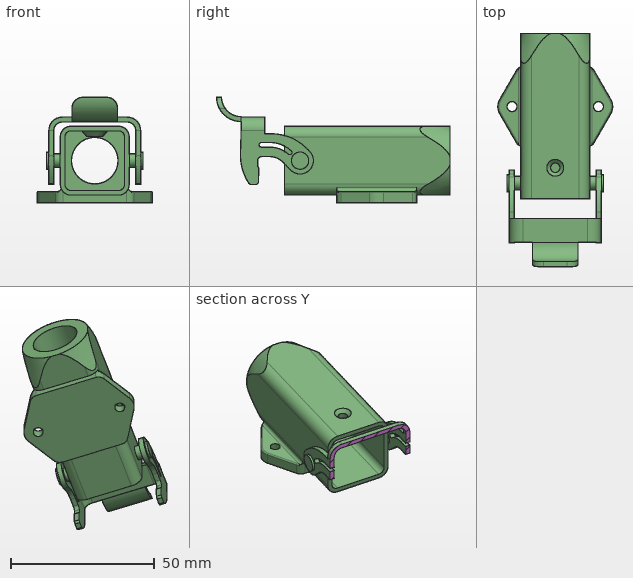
import cadquery as cq
import math


HOOD_WIDTH = 24.0
HOOD_CORNER_RADIUS = 3.8
HOOD_BOTTOM_Z = 2.7
HOOD_FRONT_Y = -32.0
HOOD_REAR_Y = 25.5
WALL = 1.6
HOOD_AXIS_Z = HOOD_BOTTOM_Z + HOOD_WIDTH / 2
HOOD_TOP_Z = HOOD_BOTTOM_Z + HOOD_WIDTH
CAVITY_WIDTH = HOOD_WIDTH - 2 * WALL
CAVITY_TOP_Z = HOOD_TOP_Z - WALL

CONE_LENGTH = 10.5
CONE_END_RADIUS = 12.1
CONE_BASE_RADIUS = 15.4
CABLE_BORE_RADIUS = 8.0

SCREW_Y = -21.25
SCREW_HOLE_RADIUS = 1.6
COUNTERSINK_RADIUS = 2.9
COUNTERSINK_DEPTH = COUNTERSINK_RADIUS - SCREW_HOLE_RADIUS
BOSS_ROOT_RADIUS = 4.55
BOSS_END_RADIUS = 2.8
BOSS_HEIGHT = 1.95

FLANGE_WIDTH = 40.0
FLANGE_HALF_LENGTH = 13.95
FLANGE_THICKNESS = 4.05
FLANGE_SIDE_ANGLE = math.radians(60)
FLANGE_TIP_RADIUS = 4.9
FLANGE_CORNER_RADIUS = 3.0
FLANGE_EDGE_FILLET = 0.5
ROOT_FILLET = 1.0
MOUNT_HOLE_X = 15.0
MOUNT_HOLE_DIAMETER = 3.4

SHEET = 1.8
LEVER_HALF_WIDTH = 16.0
BEND_RADIUS = 4.7
BRIDGE_TOP_Z = 29.85
BRIDGE_REAR_Y = -38.85
BRIDGE_FRONT_Y = -47.1
BEND_END_Z = BRIDGE_TOP_Z - BEND_RADIUS

PIVOT_Y = -26.6
PIVOT_Z = HOOD_AXIS_Z
PIN_RADIUS = 2.4
PIN_HEAD_RADIUS = 3.0
PIN_HEAD_HEIGHT = 0.8

NECK_TILT = 45
EYE_RADIUS = 4.6
ARCH_TOP_Z = 24.1
ARCH_OUTER_RADIUS = 17.35
ARCH_UNDER_Z = 16.1
ARCH_INNER_RADIUS = 6.3
JAW_Y = -41.3
JAW_RADIUS = 1.3
CATCH_Y = -40.9
CATCH_TOP_Z = 12.7
CATCH_Z = 12.1
HOOK_INNER_Y = -41.05
HOOK_BOTTOM_Z = 6.3
HOOK_CHAMFER = 0.7
HOOK_BOTTOM_Y = -43.8
HOOK_TOE = (-44.45, 6.8)
HOOK_BULGE = (-46.6, 11.5)
HOOK_FRONT = (-47.4, 16.5)
SLOT_CENTER_Z = 20.2
SLOT_HALF_WIDTH = 0.77
SLOT_END_Y = -40.1
SLOT_START_TILT = 42

TAB_OUTER_RADIUS = 8.5
TAB_WIDTH = 15.9
TAB_CORNER_RADIUS = 3.9
TAB_TOP_Z = 36.75


def rounded_bar(width, corner_radius, front_y, rear_y):
    """Rounded square bar on the hood axis."""
    return (
        cq.Workplane("XZ", origin=(0, front_y, HOOD_AXIS_Z))
        .rect(width, width)
        .extrude(front_y - rear_y)
        .edges("|Y")
        .fillet(corner_radius)
    )


def make_hood():
    bar = rounded_bar(HOOD_WIDTH, HOOD_CORNER_RADIUS, HOOD_FRONT_Y, HOOD_REAR_Y)
    cone_base_y = HOOD_REAR_Y - CONE_LENGTH
    envelope = (
        cq.Workplane("XY", origin=(0, 0, HOOD_AXIS_Z))
        .moveTo(0, HOOD_FRONT_Y)
        .lineTo(HOOD_WIDTH, HOOD_FRONT_Y)
        .lineTo(HOOD_WIDTH, cone_base_y)
        .lineTo(CONE_BASE_RADIUS, cone_base_y)
        .lineTo(CONE_END_RADIUS, HOOD_REAR_Y)
        .lineTo(0, HOOD_REAR_Y)
        .close()
        .revolve(360, (0, 0, 0), (0, 1, 0))
    )
    return bar.intersect(envelope)


def make_cavity():
    return rounded_bar(
        CAVITY_WIDTH, HOOD_CORNER_RADIUS - WALL, HOOD_FRONT_Y, HOOD_REAR_Y - CONE_LENGTH
    )


def make_cable_bore():
    return (
        cq.Workplane("XZ", origin=(0, HOOD_REAR_Y, HOOD_AXIS_Z))
        .circle(CABLE_BORE_RADIUS)
        .extrude(CONE_LENGTH + WALL)
    )


def make_screw_boss():
    root_z = CAVITY_TOP_Z
    end_z = CAVITY_TOP_Z - BOSS_HEIGHT
    return (
        cq.Workplane("XZ", origin=(0, SCREW_Y, 0))
        .polyline([(0, end_z), (BOSS_END_RADIUS, end_z), (BOSS_ROOT_RADIUS, root_z), (0, root_z)])
        .close()
        .revolve(360, (0, 0, 0), (0, 1, 0))
    )


def make_screw_hole():
    """Turned cutter: cone at the outer face, then a plain hole through the boss."""
    end_z = CAVITY_TOP_Z - BOSS_HEIGHT
    cone_end_z = HOOD_TOP_Z - COUNTERSINK_DEPTH
    return (
        cq.Workplane("XZ", origin=(0, SCREW_Y, 0))
        .moveTo(0, end_z)
        .lineTo(SCREW_HOLE_RADIUS, end_z)
        .lineTo(SCREW_HOLE_RADIUS, cone_end_z)
        .lineTo(COUNTERSINK_RADIUS, HOOD_TOP_Z)
        .lineTo(0, HOOD_TOP_Z)
        .close()
        .revolve(360, (0, 0, 0), (0, 1, 0))
    )


def flange_prism(height):
    """Rounded hexagon of the flange, from the bottom face up to the given height."""
    sharp_tip_x = FLANGE_WIDTH / 2 + FLANGE_TIP_RADIUS * (1 / math.sin(FLANGE_SIDE_ANGLE) - 1)
    corner_x = sharp_tip_x - FLANGE_HALF_LENGTH / math.tan(FLANGE_SIDE_ANGLE)
    return (
        cq.Workplane("XY")
        .moveTo(sharp_tip_x, 0)
        .lineTo(corner_x, FLANGE_HALF_LENGTH)
        .lineTo(-corner_x, FLANGE_HALF_LENGTH)
        .lineTo(-sharp_tip_x, 0)
        .lineTo(-corner_x, -FLANGE_HALF_LENGTH)
        .lineTo(corner_x, -FLANGE_HALF_LENGTH)
        .close()
        .extrude(height)
        .edges("|Z and (>X or <X)")
        .fillet(FLANGE_TIP_RADIUS)
        .edges("|Z and (>Y or <Y)")
        .fillet(FLANGE_CORNER_RADIUS)
    )


def make_flange():
    return flange_prism(FLANGE_THICKNESS).faces(">Z").edges().fillet(FLANGE_EDGE_FILLET)


def make_root_fillets():
    """Concave fillets between the flange top and the lower corners of the hood."""
    corner_x = HOOD_WIDTH / 2 - HOOD_CORNER_RADIUS
    corner_z = HOOD_BOTTOM_Z + HOOD_CORNER_RADIUS
    center_z = FLANGE_THICKNESS + ROOT_FILLET
    reach = HOOD_CORNER_RADIUS + ROOT_FILLET
    center_x = corner_x + math.sqrt(reach**2 - (corner_z - center_z) ** 2)
    touch = HOOD_CORNER_RADIUS / reach
    touch_x = corner_x + touch * (center_x - corner_x)
    touch_z = corner_z + touch * (center_z - corner_z)
    bead = (
        cq.Workplane("XZ")
        .moveTo(corner_x, FLANGE_THICKNESS - FLANGE_EDGE_FILLET)
        .lineTo(center_x, FLANGE_THICKNESS - FLANGE_EDGE_FILLET)
        .lineTo(center_x, FLANGE_THICKNESS)
        .radiusArc((touch_x, touch_z), ROOT_FILLET)
        .lineTo(corner_x, touch_z)
        .close()
        .extrude(FLANGE_HALF_LENGTH, both=True)
    )
    beads = bead.union(bead.mirror("YZ"))
    return beads.intersect(flange_prism(HOOD_AXIS_Z))


def make_mount_holes():
    return (
        cq.Workplane("XY")
        .pushPoints([(-MOUNT_HOLE_X, 0), (MOUNT_HOLE_X, 0)])
        .circle(MOUNT_HOLE_DIAMETER / 2)
        .extrude(FLANGE_THICKNESS)
    )


def on_arc(center, radius, degrees):
    """Point of a circle in the YZ plane, measured from +Z towards +Y."""
    angle = math.radians(degrees)
    return (center[0] + radius * math.sin(angle), center[1] + radius * math.cos(angle))


def arch_center(crown_z, radius, eye_side):
    """Centre of an arch tangent to a straight side of the eye (eye_side: +1 upper, -1 lower)."""
    tilt = math.radians(NECK_TILT)
    center_z = crown_z - radius
    normal_offset = eye_side * EYE_RADIUS - radius
    center_y = PIVOT_Y + (normal_offset - (center_z - PIVOT_Z) * math.cos(tilt)) / math.sin(tilt)
    return (center_y, center_z)


def make_arm_slot(arch):
    """Slot that follows the arch of the neck and then runs level to its front end."""
    middle = SLOT_CENTER_Z - arch[1]
    outer = middle + SLOT_HALF_WIDTH
    inner = middle - SLOT_HALF_WIDTH
    start_center = on_arc(arch, middle, SLOT_START_TILT)
    end_center = (SLOT_END_Y, SLOT_CENTER_Z)
    return (
        cq.Workplane("YZ")
        .moveTo(*on_arc(arch, outer, SLOT_START_TILT))
        .threePointArc(on_arc(arch, outer, SLOT_START_TILT / 2), on_arc(arch, outer, 0))
        .lineTo(*on_arc(end_center, SLOT_HALF_WIDTH, 0))
        .threePointArc(on_arc(end_center, SLOT_HALF_WIDTH, -90), on_arc(end_center, SLOT_HALF_WIDTH, 180))
        .lineTo(*on_arc(arch, inner, 0))
        .threePointArc(on_arc(arch, inner, SLOT_START_TILT / 2), on_arc(arch, inner, SLOT_START_TILT))
        .threePointArc(
            on_arc(start_center, SLOT_HALF_WIDTH, SLOT_START_TILT + 90),
            on_arc(arch, outer, SLOT_START_TILT),
        )
        .close()
        .extrude(SHEET)
    )


def make_arm():
    """Arm on the +X side, from the pivot eye to the hook, up to the end of the bend."""
    pivot = (PIVOT_Y, PIVOT_Z)
    outer_arch = arch_center(ARCH_TOP_Z, ARCH_OUTER_RADIUS, 1)
    inner_arch = arch_center(ARCH_UNDER_Z, ARCH_INNER_RADIUS, -1)
    jaw = (JAW_Y + JAW_RADIUS, ARCH_UNDER_Z - JAW_RADIUS)
    blank = (
        cq.Workplane("YZ")
        .moveTo(*on_arc(pivot, EYE_RADIUS, NECK_TILT))
        .lineTo(*on_arc(outer_arch, ARCH_OUTER_RADIUS, NECK_TILT))
        .threePointArc(
            on_arc(outer_arch, ARCH_OUTER_RADIUS, NECK_TILT / 2),
            on_arc(outer_arch, ARCH_OUTER_RADIUS, 0),
        )
        .lineTo(BRIDGE_REAR_Y, ARCH_TOP_Z)
        .lineTo(BRIDGE_REAR_Y, BEND_END_Z)
        .lineTo(BRIDGE_FRONT_Y, BEND_END_Z)
        .lineTo(*HOOK_FRONT)
        .threePointArc(HOOK_BULGE, HOOK_TOE)
        .lineTo(HOOK_BOTTOM_Y, HOOK_BOTTOM_Z)
        .lineTo(HOOK_INNER_Y - HOOK_CHAMFER, HOOK_BOTTOM_Z)
        .lineTo(HOOK_INNER_Y, HOOK_BOTTOM_Z + HOOK_CHAMFER)
        .lineTo(CATCH_Y, CATCH_Z)
        .lineTo(JAW_Y, CATCH_TOP_Z)
        .lineTo(*on_arc(jaw, JAW_RADIUS, -90))
        .threePointArc(on_arc(jaw, JAW_RADIUS, -45), on_arc(jaw, JAW_RADIUS, 0))
        .lineTo(*on_arc(inner_arch, ARCH_INNER_RADIUS, 0))
        .threePointArc(
            on_arc(inner_arch, ARCH_INNER_RADIUS, NECK_TILT / 2),
            on_arc(inner_arch, ARCH_INNER_RADIUS, NECK_TILT),
        )
        .lineTo(*on_arc(pivot, EYE_RADIUS, NECK_TILT + 180))
        .threePointArc(
            on_arc(pivot, EYE_RADIUS, NECK_TILT + 90),
            on_arc(pivot, EYE_RADIUS, NECK_TILT),
        )
        .close()
        .extrude(SHEET)
    )
    arm = blank.cut(make_arm_slot(inner_arch))
    return arm.translate((LEVER_HALF_WIDTH - SHEET, 0, 0))


def make_bridge():
    """Top plate with its two bends, ending where the flat arms begin."""
    depth = BRIDGE_REAR_Y - BRIDGE_FRONT_Y

    def arched_block(half_width, top_z, corner_radius):
        return (
            cq.Workplane("XZ", origin=(0, BRIDGE_REAR_Y, 0))
            .rect(2 * half_width, 2 * top_z)
            .extrude(depth)
            .edges("|Y and >Z")
            .fillet(corner_radius)
        )

    outside = arched_block(LEVER_HALF_WIDTH, BRIDGE_TOP_Z, BEND_RADIUS)
    inside = arched_block(LEVER_HALF_WIDTH - SHEET, BRIDGE_TOP_Z - SHEET, BEND_RADIUS - SHEET)
    upper_part = (
        cq.Workplane("XY", origin=(0, (BRIDGE_REAR_Y + BRIDGE_FRONT_Y) / 2, BEND_END_Z))
        .rect(2 * LEVER_HALF_WIDTH, depth)
        .extrude(BEND_RADIUS)
    )
    return outside.cut(inside).intersect(upper_part)


def make_finger_tab():
    tab_inner_radius = TAB_OUTER_RADIUS - SHEET
    center = (BRIDGE_FRONT_Y, TAB_TOP_Z)
    curl = (
        cq.Workplane("YZ")
        .moveTo(*on_arc(center, TAB_OUTER_RADIUS, 180))
        .threePointArc(on_arc(center, TAB_OUTER_RADIUS, 225), on_arc(center, TAB_OUTER_RADIUS, 270))
        .lineTo(*on_arc(center, tab_inner_radius, 270))
        .threePointArc(on_arc(center, tab_inner_radius, 225), on_arc(center, tab_inner_radius, 180))
        .close()
        .extrude(TAB_WIDTH / 2, both=True)
    )
    face = (
        cq.Workplane("XZ", origin=(0, BRIDGE_FRONT_Y, TAB_TOP_Z - TAB_OUTER_RADIUS / 2))
        .rect(TAB_WIDTH, TAB_OUTER_RADIUS)
        .extrude(TAB_OUTER_RADIUS)
        .edges("|Y and >Z")
        .fillet(TAB_CORNER_RADIUS)
    )
    return curl.intersect(face)


def make_pin():
    """Pivot pin on the +X side, from inside the hood wall to the head outside the arm."""
    shank_start_x = CAVITY_WIDTH / 2
    return (
        cq.Workplane("YZ", origin=(shank_start_x, PIVOT_Y, PIVOT_Z))
        .circle(PIN_RADIUS)
        .extrude(LEVER_HALF_WIDTH - shank_start_x)
        .faces(">X")
        .workplane()
        .circle(PIN_HEAD_RADIUS)
        .extrude(PIN_HEAD_HEIGHT)
    )


housing = make_hood().union(make_flange()).union(make_root_fillets())
housing = housing.cut(make_cavity()).cut(make_cable_bore()).union(make_screw_boss())
housing = housing.cut(make_screw_hole()).cut(make_mount_holes())

lever_side = make_arm().union(make_pin())
lever = make_bridge().union(make_finger_tab()).union(lever_side).union(lever_side.mirror("YZ"))

result = housing.union(lever)